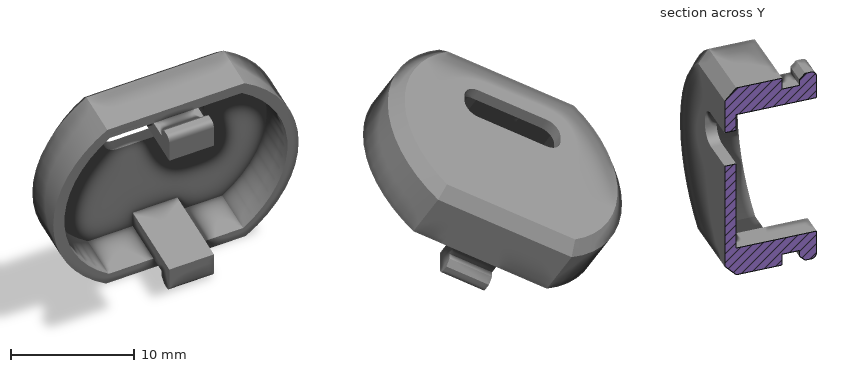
import cadquery as cq

cap_depth = 5.0
rim_radius = 11.0
top_flat = 9.12
bottom_flat = 9.04
chamfer_depth = 1.0
side_wall = 1.0
flat_wall = 1.05
floor_thickness = 1.0

slot_length = 9.0
slot_height = 3.2
slot_corner_radius = 1.3
slot_center_y = -0.13
slot_center_z = 3.36

leg_width = 4.0
leg_thickness = 1.58
leg_root = 0.5
leg_end = 8.0
hook_length = 1.5
hook_ramp = 0.5
hook_radius = 0.5


def flatted_disc(start, depth, side_inset=0.0, flat_inset=0.0):
    """Disc along X with a top and a bottom flat, shrunk by the given insets."""
    radius = rim_radius - side_inset
    top = top_flat - flat_inset
    bottom = -bottom_flat + flat_inset
    disc = cq.Workplane("YZ").workplane(offset=start).circle(radius).extrude(depth)
    band = (
        cq.Workplane("YZ")
        .workplane(offset=start)
        .center(0, (top + bottom) / 2)
        .rect(2 * radius, top - bottom)
        .extrude(depth)
    )
    return disc.intersect(band)


def chamfered_front():
    """Front layer: a cone cut by two sloping planes, growing to full size."""
    cone = cq.Workplane(
        cq.Solid.makeCone(
            rim_radius - side_wall,
            rim_radius,
            chamfer_depth,
            pnt=cq.Vector(0, 0, 0),
            dir=cq.Vector(1, 0, 0),
        )
    )
    wedge = (
        cq.Workplane("XZ")
        .polyline(
            [
                (0, flat_wall - bottom_flat),
                (chamfer_depth, -bottom_flat),
                (chamfer_depth, top_flat),
                (0, top_flat - flat_wall),
            ]
        )
        .close()
        .extrude(rim_radius, both=True)
    )
    return cone.intersect(wedge)


def cup():
    """Chamfered shell, open on its +X side."""
    body = chamfered_front().union(flatted_disc(chamfer_depth, cap_depth - chamfer_depth))
    cavity = flatted_disc(floor_thickness, cap_depth - floor_thickness, side_wall, flat_wall)
    return body.cut(cavity)


def slot():
    """Rounded slot cutter, as deep as the floor."""
    return (
        cq.Workplane("YZ")
        .center(slot_center_y, slot_center_z)
        .rect(slot_length, slot_height)
        .extrude(floor_thickness)
        .edges("|X")
        .fillet(slot_corner_radius)
    )


def snap_leg(flat, outward):
    """Hooked leg beside the flat at Z = outward * flat; outward is +1 or -1."""
    hook_start = leg_end - hook_length
    outer = outward * (flat - flat_wall)
    inner = outward * (flat - flat_wall - leg_thickness)
    hook_top = outward * flat
    ramp_foot = outward * (flat - hook_ramp)
    profile = (
        cq.Workplane("XZ")
        .moveTo(leg_root, inner)
        .lineTo(leg_end, inner)
        .lineTo(leg_end, outward * (flat - hook_radius))
        .radiusArc((leg_end - hook_radius, hook_top), -outward * hook_radius)
        .lineTo(hook_start + hook_ramp, hook_top)
        .lineTo(hook_start, ramp_foot)
        .lineTo(hook_start, outer)
        .lineTo(leg_root, outer)
        .close()
    )
    return profile.extrude(leg_width / 2, both=True)


result = cup().cut(slot())
result = result.union(snap_leg(top_flat, 1))
result = result.union(snap_leg(bottom_flat, -1))